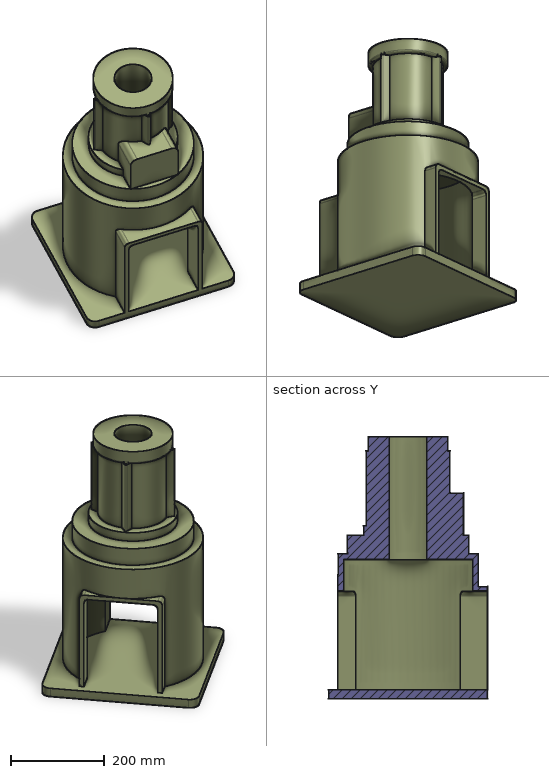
import cadquery as cq
import math

plate_side = 340.0
plate_thickness = 20.0
plate_corner_radius = 20.0

housing_radius = 150.0
housing_top = 310.0
shoulder_radius = 130.0
shoulder_top = 350.0
collar_radius = 95.0
collar_top = 370.0
column_radius = 75.0
column_top = 530.0
flange_radius = 85.0
rim_rounding = 5.0
total_height = 560.0

housing_wall = 13.0
chamber_radius = housing_radius - housing_wall
chamber_top = housing_top - housing_wall
bore_radius = 40.0

frame_width = 180.0
frame_top = 240.0
frame_wall = 10.0
frame_corner_radius = 10.0
frame_left = -housing_radius
frame_right = plate_side / 2

block_reach = 119.0
block_width = 110.0
block_top = 440.0
block_corner_radius = 15.0

rib_count = 4
rib_tip_radius = 90.0
rib_tip_rounding = 3.0
rib_half_angle = math.radians(30)
rib_round_centre = rib_tip_radius - rib_tip_rounding
rib_apex = rib_round_centre + rib_tip_rounding / math.sin(rib_half_angle)


def disc(radius, bottom, top):
    """Upright cylinder on the Z axis between two heights."""
    return cq.Workplane("XY").workplane(offset=bottom).circle(radius).extrude(top - bottom)


def rounded_bar(x_start, x_end, width, bottom, top, corner_radius):
    """Bar along X, centred on Y, with its two upper long edges rounded."""
    bar = cq.Workplane("XY").box(x_end - x_start, width, top - bottom, centered=(False, True, False))
    bar = bar.edges("|X and >Z").fillet(corner_radius)
    return bar.translate((x_start, 0, bottom))


def rib_half_width(distance):
    """Half the rib's width at a distance from the Z axis, measured along the rib."""
    return (rib_apex - distance) * math.tan(rib_half_angle)


def column_rib(angle):
    """Rib with flat flanks meeting in a rounded tip, turned about Z."""
    root = (bore_radius + column_radius) / 2
    root_half_width = rib_half_width(root)
    tangent_x = rib_round_centre + rib_tip_rounding * math.sin(rib_half_angle)
    tangent_y = rib_tip_rounding * math.cos(rib_half_angle)
    rib = (
        cq.Workplane("XY")
        .workplane(offset=collar_top)
        .moveTo(root, -root_half_width)
        .lineTo(tangent_x, -tangent_y)
        .threePointArc((rib_tip_radius, 0), (tangent_x, tangent_y))
        .lineTo(root, root_half_width)
        .close()
        .extrude(column_top - collar_top)
    )
    return rib.rotate((0, 0, 0), (0, 0, 1), angle)


def rim_plug(angle):
    """Square-edged stretch of the flange rim directly above a rib."""
    plug_width = 2 * rib_half_width(flange_radius)
    plug = cq.Workplane("XY").box(flange_radius, plug_width, rim_rounding, centered=(False, True, False))
    plug = plug.translate((0, 0, column_top))
    plug = plug.intersect(disc(flange_radius, column_top, total_height))
    return plug.rotate((0, 0, 0), (0, 0, 1), angle)


plate = cq.Workplane("XY").box(plate_side, plate_side, plate_thickness, centered=(True, True, False))
result = plate.edges("|Z").fillet(plate_corner_radius)

result = result.union(disc(housing_radius, plate_thickness, housing_top))
result = result.union(disc(shoulder_radius, housing_top, shoulder_top))
result = result.union(disc(collar_radius, shoulder_top, collar_top))
result = result.union(disc(column_radius, collar_top, column_top))
flange = disc(flange_radius, column_top, total_height).faces("<Z").edges().fillet(rim_rounding)
result = result.union(flange)

for index in range(rib_count):
    rib_angle = index * 360 / rib_count
    result = result.union(column_rib(rib_angle)).union(rim_plug(rib_angle))
result = result.union(
    rounded_bar(0, block_reach, block_width, shoulder_top, block_top, block_corner_radius)
)

result = result.union(
    rounded_bar(frame_left, frame_right, frame_width, plate_thickness, frame_top, frame_corner_radius)
)
tunnel_width = frame_width - 2 * frame_wall
tunnel_top = frame_top - frame_wall
result = result.cut(
    rounded_bar(frame_left, frame_right, tunnel_width, plate_thickness, tunnel_top, frame_corner_radius)
)
result = result.cut(disc(chamber_radius, plate_thickness, chamber_top))
result = result.cut(disc(bore_radius, chamber_top, total_height))